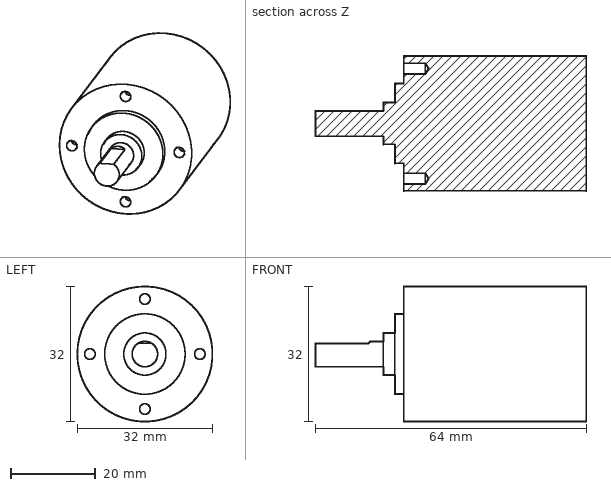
import cadquery as cq
import math

total_length = 64.0
body_diameter = 32.0

shaft_length = 16.05
boss_length = 2.7
pilot_length = 2.1
body_length = total_length - shaft_length - boss_length - pilot_length

shaft_diameter = 6.0
boss_diameter = 10.0
pilot_diameter = 19.0

flat_length = 12.5
flat_depth = 0.5
runout_length = flat_depth

hole_count = 4
hole_diameter = 2.5
hole_depth = 5.1
hole_circle_radius = 13.0
drill_point_angle = 118.0

shaft_tip_x = -total_length / 2
boss_x = shaft_tip_x + shaft_length
pilot_x = boss_x + boss_length
body_x = pilot_x + pilot_length


def cylinder(start_x, length, diameter):
    """Cylinder on the X axis, running toward +X from start_x."""
    return cq.Workplane("YZ", origin=(start_x, 0, 0)).circle(diameter / 2).extrude(length)


def shaft_flat_cutter():
    """Block above the flat, with the run-out slope at its inner end."""
    shaft_top = shaft_diameter / 2
    flat_z = shaft_top - flat_depth
    flat_end_x = shaft_tip_x + flat_length
    return (
        cq.Workplane("XZ")
        .moveTo(shaft_tip_x, flat_z)
        .lineTo(flat_end_x, flat_z)
        .lineTo(flat_end_x + runout_length, shaft_top)
        .lineTo(shaft_tip_x, shaft_top)
        .close()
        .extrude(shaft_diameter / 2, both=True)
    )


def mounting_hole():
    """Drilled hole with a conical bottom, on the +Z side of the axis."""
    radius = hole_diameter / 2
    bottom_x = body_x + hole_depth
    point_x = bottom_x + radius / math.tan(math.radians(drill_point_angle / 2))
    return (
        cq.Workplane("XZ")
        .moveTo(body_x, hole_circle_radius)
        .lineTo(body_x, hole_circle_radius + radius)
        .lineTo(bottom_x, hole_circle_radius + radius)
        .lineTo(point_x, hole_circle_radius)
        .close()
        .revolve(360, (body_x, hole_circle_radius, 0), (point_x, hole_circle_radius, 0))
    )


result = (
    cylinder(body_x, body_length, body_diameter)
    .union(cylinder(pilot_x, pilot_length, pilot_diameter))
    .union(cylinder(boss_x, boss_length, boss_diameter))
    .union(cylinder(shaft_tip_x, shaft_length, shaft_diameter))
    .cut(shaft_flat_cutter())
)

for hole_index in range(hole_count):
    angle = hole_index * 360 / hole_count
    result = result.cut(mounting_hole().rotate((0, 0, 0), (1, 0, 0), angle))